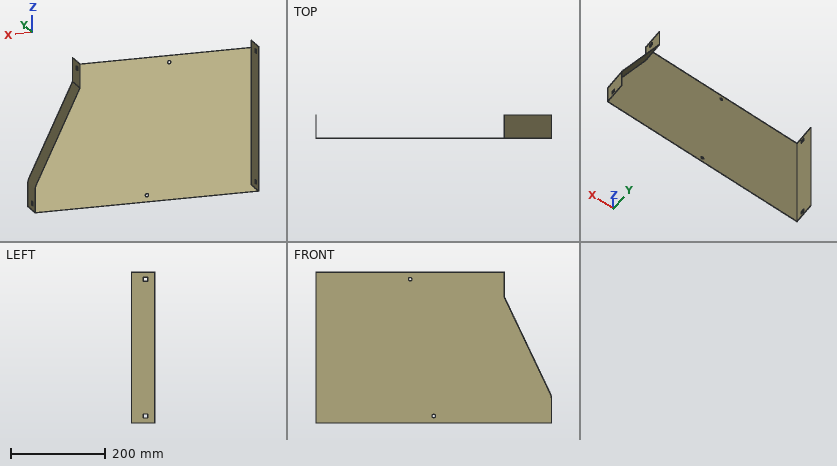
import cadquery as cq

length = 500.0
depth = 50.0
height = 320.0
sheet = 0.8

top_length = 400.0
upper_bend_z = 267.0
lower_bend_z = 57.0
lower_bend_radius = 25.0

hole_inset = 15.0
panel_hole_diameter = 7.0
top_hole_x = top_length / 2
bottom_hole_x = length / 2
flange_hole_y = 20.0
flange_hole_width = 9.0
flange_hole_height = 8.0
hole_heights = (hole_inset, height - hole_inset)

outline = [
    (0, 0),
    (length, 0),
    (length, lower_bend_z),
    (top_length, upper_bend_z),
    (top_length, height),
    (0, height),
]


def make_sheet_shell():
    """Front panel with side flanges; the back, top and bottom are open."""
    envelope = cq.Workplane("XZ").polyline(outline).close().extrude(-depth)
    lower_bend = cq.selectors.NearestToPointSelector((length, depth / 2, lower_bend_z))
    envelope = envelope.edges("|Y").edges(lower_bend).fillet(lower_bend_radius)
    return envelope.faces(">Y or >Z or <Z").shell(-sheet, kind="intersection")


def panel_hole(x, z):
    """Round cutter through the front panel."""
    return cq.Workplane("XZ").center(x, z).circle(panel_hole_diameter / 2).extrude(-2 * sheet)


def flange_hole(z):
    """Rectangular cutter through both side flanges at one height."""
    return (
        cq.Workplane("YZ")
        .center(flange_hole_y, z)
        .rect(flange_hole_width, flange_hole_height)
        .extrude(length)
    )


result = make_sheet_shell()
result = result.cut(panel_hole(top_hole_x, height - hole_inset))
result = result.cut(panel_hole(bottom_hole_x, hole_inset))
for hole_z in hole_heights:
    result = result.cut(flange_hole(hole_z))